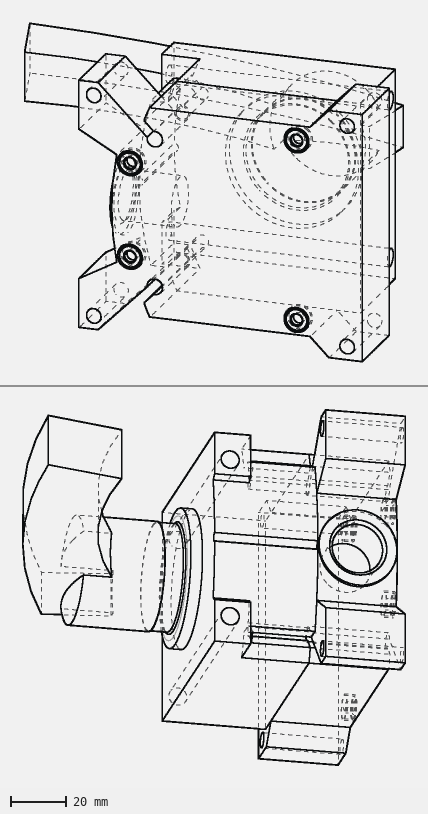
import cadquery as cq
import math


base_back = 29.5
housing_back = 67.7
flange_rim_back = 72.0
flange_back = 72.7

half_height = 40.2
crown_x = -45.0
crown_radius = 111.4
slot_center_x, slot_center_z = -28.5, 28.4
slot_width = 3.6
shoulder_top_x = -30.5
shoulder_bottom_z = 35.0
shoulder_radius = 36.5
notch_floor_z = 31.6
slot_sum = slot_center_x + slot_center_z
slot_lower_sum = slot_sum - slot_width / math.sqrt(2)
slot_upper_sum = slot_sum + slot_width / math.sqrt(2)
shoulder_bottom_x = slot_upper_sum - shoulder_bottom_z
slot_reach = 8.0

base_right = 50.8
ear_left = -57.7
base_height = 95.0
ear_half_height = base_height / 2
left_ear_top_x = slot_lower_sum - ear_half_height
base_keyhole_diameter = 6.0
ear_bottom_z = 28.7
ear_root_z = 20.7
right_ear_left = 38.0
right_ear_root = right_ear_left - (ear_half_height - half_height)
ear_hole_diameter = 5.5
ear_hole_inset = 5.7
ear_hole_z = 42.4

port_boss_diameter = 29.0
port_boss_x = -45.8
port_boss_height = 5.4
port_diameter = 18.7
port_mouth_chamfer = 1.3
port_depth = 21.5
port_y = base_back / 2

screw_places = [(-38.0, 18.0), (25.7, 34.5)]
screw_recess_diameter = 9.5
screw_head_diameter = 8.5
screw_head_bevel = 0.27
screw_recess_depth = 3.6
socket_diameter = 4.1
socket_mouth_diameter = 4.8
socket_mouth_depth = 0.4
socket_depth = 2.7
socket_point_depth = 1.5

housing_right = 39.7
tab_front = 54.5
tab_bottom_z = 24.2
tab_heel_x, tab_heel_z = -42.5, 22.6
tab_hole_diameter = 6.6
tab_hole_y, tab_hole_z = 62.0, 30.2
housing_keyhole_diameter = 4.8
housing_slot_back = 51.2
index_groove_radius = 1.6
flange_diameter = 51.0
flange_top_diameter = 45.3

knob_diameter = 40.0
neck_diameter = 39.3
neck_foot_height = 0.7
neck_back = 80.3
dome_edge_y = 110.1
dome_radius = 73.6
lever_tip_x, lever_tip_y = -128.8, 148.5
lever_heel_x, lever_heel_y = 25.9, 115.7
lever_foot_x, lever_foot_y = 21.5, 90.9
lever_inner_end_x = -1.8
lever_outer_mid = (-48.5, 139.5)
lever_inner_mid = (-67.4, 116.0)
lever_inner_tip = (-120.5, 119.5)
lever_tip_half_width = 9.5
lever_heel_half_width = 8.0


def crown_wall_x(z):
    """X of the curved left wall at height z."""
    return crown_x + crown_radius - math.sqrt(crown_radius**2 - z**2)


def xz_plane(y):
    """Sketch plane with +X right and +Z up; a negative extrusion runs toward +Y."""
    return cq.Workplane("XZ", origin=(0, y, 0))


def both_sides(shape):
    """The same shape above and below Z = 0."""
    return [shape, shape.mirror("XY")]


def y_cylinder(x, z, diameter, y_start, y_end):
    return xz_plane(y_start).center(x, z).circle(diameter / 2).extrude(y_start - y_end)


def revolve_about_y(profile):
    return profile.close().revolve(360, (0, 0, 0), (0, 1, 0))


def keyhole_slot(keyhole_diameter, y_start, y_end):
    """45 degree slot with a round inner end."""
    slot = (
        xz_plane(y_start)
        .transformed(offset=(slot_center_x, slot_center_z, 0), rotate=(0, 0, 135))
        .center(slot_reach / 2, 0)
        .rect(slot_reach, slot_width)
        .extrude(y_start - y_end)
    )
    return slot.union(y_cylinder(slot_center_x, slot_center_z, keyhole_diameter, y_start, y_end))


def corner_notch(outer_points, y_start, y_end):
    """Corner removed between the curved shoulder, the slot's lower edge and the outer points."""
    notch = (
        xz_plane(y_start)
        .moveTo(shoulder_top_x, half_height)
        .radiusArc((shoulder_bottom_x, shoulder_bottom_z), -shoulder_radius)
        .lineTo(slot_lower_sum - notch_floor_z, notch_floor_z)
    )
    for point in outer_points:
        notch = notch.lineTo(*point)
    return notch.close().extrude(y_start - y_end)


def make_base():
    root_x = crown_wall_x(ear_root_z)
    ear_foot_x = slot_lower_sum - half_height
    upper = [
        (ear_left, ear_bottom_z),
        (ear_left, ear_half_height),
        (left_ear_top_x, ear_half_height),
        (ear_foot_x, half_height),
        (right_ear_root, half_height),
        (right_ear_left, ear_half_height),
        (base_right, ear_half_height),
    ]
    lower = [(x, -z) for x, z in reversed(upper)]
    outline = xz_plane(0).moveTo(root_x, -ear_root_z).threePointArc((crown_x, 0), (root_x, ear_root_z))
    for point in upper + lower:
        outline = outline.lineTo(*point)
    base = outline.close().extrude(-base_back)

    for cutter in both_sides(corner_notch([(ear_foot_x, half_height)], 0, base_back)):
        base = base.cut(cutter)
    for cutter in both_sides(keyhole_slot(base_keyhole_diameter, 0, base_back)):
        base = base.cut(cutter)
    for x in (ear_left + ear_hole_inset, base_right - ear_hole_inset):
        for z in (ear_hole_z, -ear_hole_z):
            base = base.cut(y_cylinder(x, z, ear_hole_diameter, 0, base_back))
    for x, z in screw_places:
        for cutter in both_sides(screw_recess(x, z)):
            base = base.cut(cutter)
    return add_port(base)


def y_cone(x, z, front_diameter, back_diameter, y_start, y_end):
    return cq.Workplane(
        cq.Solid.makeCone(
            front_diameter / 2,
            back_diameter / 2,
            y_end - y_start,
            cq.Vector(x, y_start, z),
            cq.Vector(0, 1, 0),
        )
    )


def screw_recess(x, z):
    """Ring gap around a flush, bevelled screw head, plus its round socket with a conical bottom."""
    head_face_diameter = screw_head_diameter - 2 * screw_head_bevel
    head_bevel = y_cone(x, z, head_face_diameter, screw_head_diameter, 0, screw_head_bevel)
    head_shank = y_cylinder(x, z, screw_head_diameter, screw_head_bevel, screw_recess_depth)
    ring = y_cylinder(x, z, screw_recess_diameter, 0, screw_recess_depth).cut(head_bevel).cut(head_shank)

    mouth = y_cone(x, z, socket_mouth_diameter, socket_diameter, 0, socket_mouth_depth)
    socket = y_cylinder(x, z, socket_diameter, 0, socket_depth)
    point = y_cone(x, z, socket_diameter, 0, socket_depth, socket_depth + socket_point_depth)
    return ring.union(mouth).union(socket).union(point)


def add_port(base):
    """Round boss on the curved wall with a chamfered blind hole."""
    face = cq.Workplane("YZ", origin=(port_boss_x, port_y, 0))
    boss = face.circle(port_boss_diameter / 2).extrude(port_boss_height)
    hole = face.circle(port_diameter / 2).extrude(port_depth)
    mouth = cq.Solid.makeCone(
        port_diameter / 2 + port_mouth_chamfer,
        port_diameter / 2,
        port_mouth_chamfer,
        cq.Vector(port_boss_x, port_y, 0),
        cq.Vector(1, 0, 0),
    )
    return base.union(boss).cut(hole).cut(cq.Workplane(mouth))


def make_housing():
    depth = base_back - housing_back
    top_wall = (crown_wall_x(half_height), half_height)
    housing = (
        xz_plane(base_back)
        .moveTo(top_wall[0], -half_height)
        .threePointArc((crown_x, 0), top_wall)
        .lineTo(housing_right, half_height)
        .lineTo(housing_right, -half_height)
        .close()
        .extrude(depth)
    )
    tab = (
        xz_plane(tab_front)
        .moveTo(crown_x, tab_bottom_z)
        .lineTo(crown_x, half_height)
        .lineTo(shoulder_top_x, half_height)
        .lineTo(shoulder_top_x, tab_heel_z)
        .lineTo(tab_heel_x, tab_heel_z)
        .close()
        .extrude(tab_front - housing_back)
    )
    notch = corner_notch(
        [(ear_left, notch_floor_z), (ear_left, half_height)], base_back, tab_front
    )
    tab_hole = (
        cq.Workplane("YZ", origin=(crown_x, tab_hole_y, tab_hole_z))
        .circle(tab_hole_diameter / 2)
        .extrude(housing_right - crown_x)
    )
    for side in both_sides(tab):
        housing = housing.union(side)
    slot = keyhole_slot(housing_keyhole_diameter, base_back, housing_slot_back)
    for cutter in (notch, slot, tab_hole):
        for side in both_sides(cutter):
            housing = housing.cut(side)
    housing = housing.cut(y_cylinder(crown_x, 0, 2 * index_groove_radius, base_back, housing_back))

    flange = revolve_about_y(
        cq.Workplane("XY")
        .moveTo(0, housing_back)
        .lineTo(flange_diameter / 2, housing_back)
        .lineTo(flange_diameter / 2, flange_rim_back)
        .lineTo(flange_top_diameter / 2, flange_back)
        .lineTo(0, flange_back)
    )
    return housing.union(flange)


def make_handle():
    knob_radius, neck_radius = knob_diameter / 2, neck_diameter / 2
    dome_center_y = dome_edge_y - math.sqrt(dome_radius**2 - knob_radius**2)
    knob = revolve_about_y(
        cq.Workplane("XY")
        .moveTo(0, flange_back)
        .lineTo(neck_radius + neck_foot_height, flange_back)
        .lineTo(neck_radius, flange_back + neck_foot_height)
        .lineTo(neck_radius, neck_back)
        .lineTo(knob_radius, neck_back)
        .lineTo(knob_radius, dome_edge_y)
        .radiusArc((0, dome_center_y + dome_radius), -dome_radius)
    )
    side_profile = (
        cq.Workplane("XY")
        .moveTo(lever_tip_x, lever_tip_y)
        .threePointArc(lever_outer_mid, (lever_heel_x, lever_heel_y))
        .lineTo(lever_foot_x, lever_foot_y)
        .lineTo(lever_inner_end_x, lever_foot_y)
        .threePointArc(lever_inner_mid, lever_inner_tip)
        .close()
        .extrude(lever_tip_half_width, both=True)
    )
    taper = (
        xz_plane(0)
        .moveTo(lever_tip_x, -lever_tip_half_width)
        .lineTo(lever_tip_x, lever_tip_half_width)
        .lineTo(lever_heel_x, lever_heel_half_width)
        .lineTo(lever_heel_x, -lever_heel_half_width)
        .close()
        .extrude(-lever_tip_y)
    )
    return knob.union(side_profile.intersect(taper))


base = make_base()
housing = make_housing()
handle = make_handle()

result = cq.Compound.makeCompound([base.solids().val(), housing.solids().val(), handle.solids().val()])